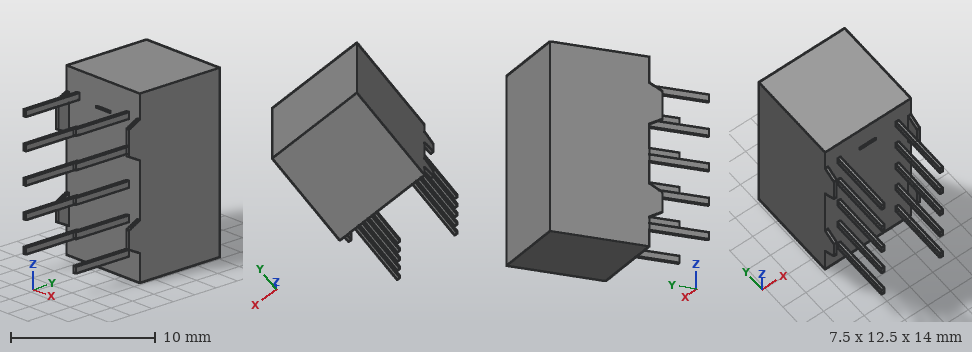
import cadquery as cq

HOUSING_WIDTH = 7.5
HOUSING_HEIGHT = 14.0
OVERALL_DEPTH = 12.5

COLUMN_SPACING = 5.08
PIN_LENGTH = 5.0
PIN_THICKNESS = 0.25
PIN_HEIGHT = 0.5
PIN_PITCH = COLUMN_SPACING / 2
PIN_ROWS = 5

TAB_THICKNESS = 0.25
TAB_REACH = 1.0
TAB_TAPER = 0.5
UPPER_TAB_DROP = 1.9
UPPER_TAB_HEIGHT = 3.04
LOWER_TAB_DROP = 9.35
LOWER_TAB_HEIGHT = 2.45

MARK_LENGTH = 1.4
MARK_HEIGHT = 0.11
MARK_DEPTH = 0.05
MARK_DROP = 2.21

HOUSING_DEPTH = OVERALL_DEPTH - PIN_LENGTH
TERMINAL_FACE_Y = -HOUSING_DEPTH / 2
TOP_Z = HOUSING_HEIGHT / 2


def make_housing():
    return cq.Workplane("XY").box(HOUSING_WIDTH, HOUSING_DEPTH, HOUSING_HEIGHT)


def make_pins():
    """Grid of pins standing out from the terminal face."""
    return (
        cq.Workplane("XZ", origin=(0, TERMINAL_FACE_Y, 0))
        .rarray(COLUMN_SPACING, PIN_PITCH, 2, PIN_ROWS)
        .rect(PIN_THICKNESS, PIN_HEIGHT)
        .extrude(PIN_LENGTH)
    )


def make_tab(side, drop, height):
    """Tapered tab on one side (-1 or +1), its root starting `drop` below the top."""
    root_top = TOP_Z - drop
    root_bottom = root_top - height
    tip_y = TERMINAL_FACE_Y - TAB_REACH
    center_x = side * (HOUSING_WIDTH - TAB_THICKNESS) / 2
    return (
        cq.Workplane("YZ", origin=(center_x, 0, 0))
        .moveTo(TERMINAL_FACE_Y, root_top)
        .lineTo(tip_y, root_top - TAB_TAPER)
        .lineTo(tip_y, root_bottom + TAB_TAPER)
        .lineTo(TERMINAL_FACE_Y, root_bottom)
        .close()
        .extrude(TAB_THICKNESS / 2, both=True)
    )


def make_mark_cutter():
    return (
        cq.Workplane("XZ", origin=(0, TERMINAL_FACE_Y, TOP_Z - MARK_DROP))
        .rect(MARK_LENGTH, MARK_HEIGHT)
        .extrude(-MARK_DEPTH)
    )


result = make_housing().cut(make_mark_cutter()).union(make_pins())
for side in (-1, 1):
    result = result.union(make_tab(side, UPPER_TAB_DROP, UPPER_TAB_HEIGHT))
    result = result.union(make_tab(side, LOWER_TAB_DROP, LOWER_TAB_HEIGHT))